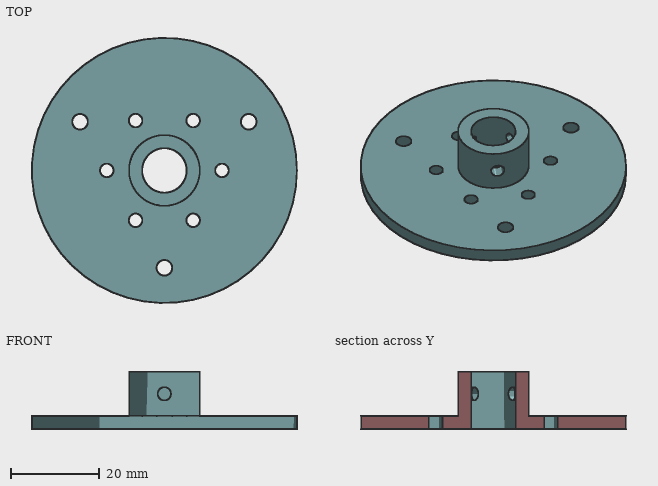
import cadquery as cq

disc_diameter = 60.0
disc_thickness = 3.0

hub_diameter = 16.0
hub_height = 10.0
bore_diameter = 10.0
total_height = disc_thickness + hub_height

inner_hole_count = 6
inner_hole_diameter = 3.0
inner_ring_radius = 13.0

threefold_count = 3
threefold_start_angle = 30.0
outer_hole_diameter = 3.5
outer_ring_radius = 22.0
screw_hole_diameter = 3.0
screw_hole_height = disc_thickness + hub_height / 2


def ring_of_holes(ring_radius, hole_diameter, count, start_angle):
    """Vertical cutters through the disc, evenly spaced on a circle."""
    return (
        cq.Workplane("XY")
        .polarArray(ring_radius, start_angle, 360, count)
        .circle(hole_diameter / 2)
        .extrude(disc_thickness)
    )


def screw_hole(angle):
    """Radial cutter from the hub axis out through one side of the hub wall."""
    return (
        cq.Workplane("YZ")
        .center(0, screw_hole_height)
        .circle(screw_hole_diameter / 2)
        .extrude(hub_diameter)
        .rotate((0, 0, 0), (0, 0, 1), angle)
    )


disc = cq.Workplane("XY").circle(disc_diameter / 2).extrude(disc_thickness)
hub = cq.Workplane("XY").circle(hub_diameter / 2).extrude(total_height)
bore = cq.Workplane("XY").circle(bore_diameter / 2).extrude(total_height)
result = disc.union(hub).cut(bore)

result = result.cut(ring_of_holes(inner_ring_radius, inner_hole_diameter, inner_hole_count, 0))
result = result.cut(
    ring_of_holes(outer_ring_radius, outer_hole_diameter, threefold_count, threefold_start_angle)
)

for index in range(threefold_count):
    result = result.cut(screw_hole(threefold_start_angle + index * 360 / threefold_count))